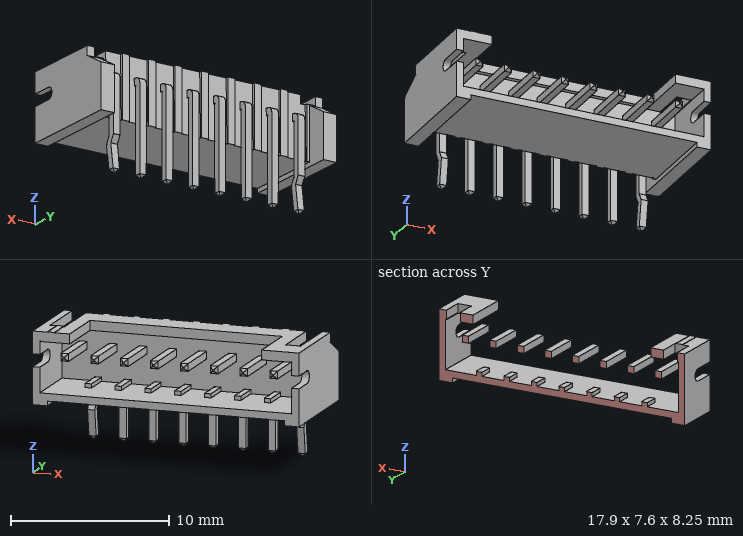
import cadquery as cq
import math


width = 17.9
depth = 7.6
height = 4.82
overall_height = 8.25
side_wall = 0.5
roof_thickness = 0.65
floor_thickness = 0.5
foot_height = 0.32
foot_width = 1.0

cavity_depth = 4.2
cavity_bottom = foot_height + floor_thickness
cavity_top = height - roof_thickness
cavity_width = width - 2 * side_wall

rear_face = 6.01
wall_top_rear = 5.8
wall_bottom_rear = 5.9
arm_margin = 1.22
arm_top_front = 4.12
arm_top_rear = 3.22

window_width = 12.89
window_depth = 3.88
roof_slot_front = 1.83
roof_slot_width = 0.98
roof_slot_edge = 0.55
side_slot_depth = 1.95
side_slot_bottom = 2.49
side_slot_height = 0.82

strip_edge = 1.0
strip_width = 0.48
strip_height = 0.02

pin_count = 8
pitch = 2.0
pin_size = 0.5
pin_axis_height = 3.1
pin_tip_front = 0.48
tip_length = 0.2
tip_taper = 45.0
tail_rear = 6.48
tail_end = height + strip_height - overall_height
kink_start = -0.93
kink_peak = -1.47
kink_offset = 0.3
kink_end_offset = 0.04

floor_rib_width = 0.43
floor_rib_height = 0.27
floor_rib_front = 2.31
rear_rib_width = 0.54

pin_places = [(i - (pin_count - 1) / 2) * pitch for i in range(pin_count)]
rib_places = [x + pitch / 2 for x in pin_places[:-1]]


def box(x_range, y_range, z_range):
    """Axis-aligned block spanning the given coordinate ranges."""
    (x0, x1), (y0, y1), (z0, z1) = x_range, y_range, z_range
    return cq.Workplane("XY").box(x1 - x0, y1 - y0, z1 - z0, centered=False).translate((x0, y0, z0))


def centred(x, size):
    """Range of the given size centred on x."""
    return (x - size / 2, x + size / 2)


def side_profile(points, x_range):
    """Extrude a closed (y, z) outline along X over the given range."""
    outline = cq.Workplane("YZ", origin=(x_range[0], 0, 0)).polyline(points).close()
    return outline.extrude(x_range[1] - x_range[0])


def make_housing():
    shell = box(centred(0, width), (0, rear_face), (0, height))

    shell = shell.cut(box(centred(0, width - 2 * foot_width), (0, rear_face), (0, foot_height)))

    wall_relief = side_profile(
        [
            (wall_bottom_rear, foot_height),
            (rear_face, foot_height),
            (rear_face, height),
            (wall_top_rear, height),
        ],
        centred(0, width - 2 * arm_margin),
    )
    for x in rib_places:
        wall_relief = wall_relief.cut(box(centred(x, rear_rib_width), (0, depth), (0, height)))
    shell = shell.cut(wall_relief)

    shell = shell.cut(box(centred(0, cavity_width), (0, cavity_depth), (cavity_bottom, cavity_top)))
    shell = shell.cut(box(centred(0, window_width), (0, window_depth), (cavity_top, height)))

    for side in (-1, 1):
        shell = shell.union(make_arm(side))
        slot_x = side * (width / 2 - roof_slot_edge - roof_slot_width / 2)
        roof_slot = box(centred(slot_x, roof_slot_width), (roof_slot_front, rear_face), (cavity_top, height))
        shell = shell.cut(roof_slot)

    return shell.cut(make_side_slot())


def make_arm(side):
    """Rear arm with a sloping top, at the left (-1) or right (+1) end."""
    outline = [(rear_face, 0), (depth, 0), (depth, arm_top_rear), (rear_face, arm_top_front)]
    return side_profile(outline, centred(side * (width - foot_width) / 2, foot_width))


def make_side_slot():
    """Round-ended slot from the mating face through both side walls."""
    radius = side_slot_height / 2
    straight_end = side_slot_depth - radius
    middle = side_slot_bottom + radius
    top = side_slot_bottom + side_slot_height
    return (
        cq.Workplane("YZ")
        .moveTo(0, side_slot_bottom)
        .lineTo(straight_end, side_slot_bottom)
        .threePointArc((side_slot_depth, middle), (straight_end, top))
        .lineTo(0, top)
        .close()
        .extrude(width / 2, both=True)
    )


def make_strip():
    left = strip_edge - width / 2
    return box((left, left + strip_width), (0, roof_slot_front), (height, height + strip_height))


def make_floor_rib(x):
    z_range = (cavity_bottom, cavity_bottom + floor_rib_height)
    return box(centred(x, floor_rib_width), (floor_rib_front, cavity_depth), z_range)


def make_pin(x, kinked):
    """Bent square pin with tapered ends; a kinked tail bows towards the front."""
    front = pin_tip_front + tip_length
    tail_front = tail_rear - pin_size
    bottom = pin_axis_height - pin_size / 2
    top = pin_axis_height + pin_size / 2
    tail_base = tail_end + tip_length
    bend_mid = pin_size * math.sqrt(0.5)

    shifts = [(tail_base, 0)]
    if kinked:
        shifts = [(kink_start, 0), (kink_peak, kink_offset), (tail_base, kink_end_offset)]

    leg = (
        cq.Workplane("YZ", origin=(x - pin_size / 2, 0, 0))
        .moveTo(front, bottom)
        .lineTo(front, top)
        .lineTo(tail_front, top)
        .threePointArc((tail_front + bend_mid, bottom + bend_mid), (tail_rear, bottom))
    )
    for z, shift in shifts:
        leg = leg.lineTo(tail_rear - shift, z)
    for z, shift in reversed(shifts):
        leg = leg.lineTo(tail_front - shift, z)
    leg = leg.lineTo(tail_front, bottom).close().extrude(pin_size)

    front_tip = (
        cq.Workplane("XZ", origin=(x, front, pin_axis_height))
        .rect(pin_size, pin_size)
        .extrude(tip_length, taper=tip_taper)
    )
    tail_axis = tail_rear - pin_size / 2 - shifts[-1][1]
    tail_tip = (
        cq.Workplane("XY", origin=(x, tail_axis, tail_base))
        .rect(pin_size, pin_size)
        .extrude(-tip_length, taper=tip_taper)
    )
    return leg.union(front_tip).union(tail_tip)


result = make_housing().union(make_strip())

for rib_x in rib_places:
    result = result.union(make_floor_rib(rib_x))

for pin_x in pin_places:
    is_outermost = pin_x in (pin_places[0], pin_places[-1])
    result = result.union(make_pin(pin_x, is_outermost))